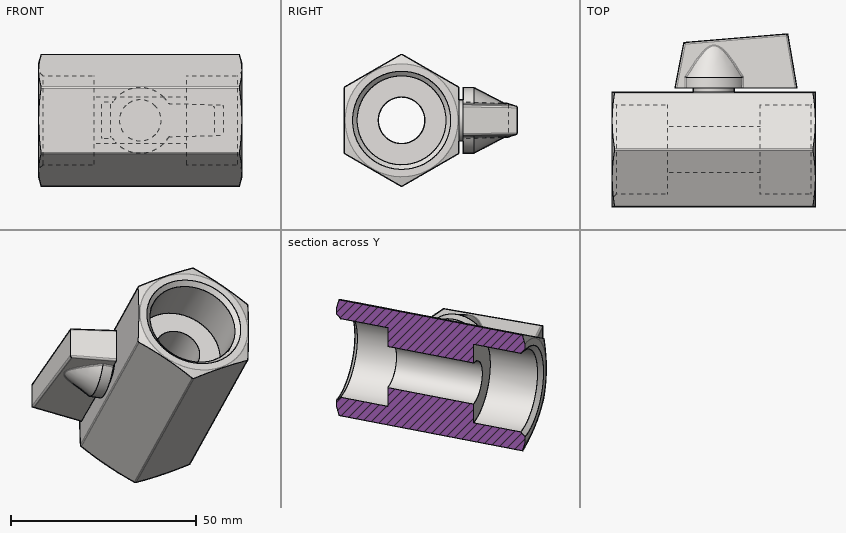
import cadquery as cq
import math

HEX_SIDES = 6
BODY_LENGTH = 55.0
ACROSS_FLATS = 31.0
CORNER_ROUND = 0.5
END_FACE_DIAMETER = 30.5
END_CHAMFER_ANGLE = 16.0

PORT_DIAMETER = 24.0
PORT_DEPTH = 15.0
PORT_MOUTH_DIAMETER = 26.5
PORT_CHAMFER_DEPTH = 1.25
PASSAGE_DIAMETER = 12.5

STEM_DIAMETER = 11.2
HANDLE_GAP = 1.1
STEM_EMBED = 1.0

HUB_DIAMETER = 17.8
HUB_HEIGHT = 2.9
HUB_CONE_ANGLE = 27.5
HUB_FILLET = 0.5

BLADE_BOTTOM_LEFT = -10.5
BLADE_BOTTOM_RIGHT = 22.5
BLADE_TOP_LEFT = -8.1
BLADE_TOP_RIGHT = 20.0
BLADE_LEFT_HEIGHT = 12.3
BLADE_RIGHT_HEIGHT = 14.65
BLADE_BASE_HALF_THICKNESS_LEFT = 4.95
BLADE_BASE_HALF_THICKNESS_RIGHT = 4.1
BLADE_DRAFT = 1.2
BLADE_ROUND = 0.5

HALF_LENGTH = BODY_LENGTH / 2
FLAT_Y = ACROSS_FLATS / 2
HANDLE_Y = FLAT_Y + HANDLE_GAP
CORNER_RADIUS = FLAT_Y / math.cos(math.pi / HEX_SIDES)


def hexagonal_body():
    corners = []
    for i in range(HEX_SIDES):
        angle = i * 2 * math.pi / HEX_SIDES
        corners.append((CORNER_RADIUS * math.sin(angle), CORNER_RADIUS * math.cos(angle)))
    prism = cq.Workplane("YZ").polyline(corners).close().extrude(HALF_LENGTH, both=True)
    prism = prism.edges("|X").fillet(CORNER_ROUND)

    end_radius = END_FACE_DIAMETER / 2
    bevel_length = (CORNER_RADIUS - end_radius) * math.tan(math.radians(END_CHAMFER_ANGLE))
    envelope = (
        cq.Workplane("XY")
        .moveTo(-HALF_LENGTH, 0)
        .lineTo(-HALF_LENGTH, end_radius)
        .lineTo(-HALF_LENGTH + bevel_length, CORNER_RADIUS)
        .lineTo(HALF_LENGTH - bevel_length, CORNER_RADIUS)
        .lineTo(HALF_LENGTH, end_radius)
        .lineTo(HALF_LENGTH, 0)
        .close()
        .revolve(360, (0, 0, 0), (1, 0, 0))
    )
    return prism.intersect(envelope)


def passage():
    floor_x = HALF_LENGTH - PORT_DEPTH
    chamfer_x = HALF_LENGTH - PORT_CHAMFER_DEPTH
    half_profile = (
        cq.Workplane("XY")
        .moveTo(0, 0)
        .lineTo(0, PASSAGE_DIAMETER / 2)
        .lineTo(floor_x, PASSAGE_DIAMETER / 2)
        .lineTo(floor_x, PORT_DIAMETER / 2)
        .lineTo(chamfer_x, PORT_DIAMETER / 2)
        .lineTo(HALF_LENGTH, PORT_MOUTH_DIAMETER / 2)
        .lineTo(HALF_LENGTH, 0)
        .close()
    )
    half = half_profile.revolve(360, (0, 0, 0), (1, 0, 0))
    return half.union(half.mirror("YZ"))


def stem():
    base = cq.Workplane("XZ", origin=(0, FLAT_Y - STEM_EMBED, 0)).circle(STEM_DIAMETER / 2)
    return base.extrude(-(STEM_EMBED + HANDLE_GAP))


def blade():
    outline = (
        cq.Workplane("XY")
        .polyline([
            (BLADE_BOTTOM_LEFT, HANDLE_Y),
            (BLADE_BOTTOM_RIGHT, HANDLE_Y),
            (BLADE_TOP_RIGHT, HANDLE_Y + BLADE_RIGHT_HEIGHT),
            (BLADE_TOP_LEFT, HANDLE_Y + BLADE_LEFT_HEIGHT),
        ])
        .close()
        .extrude(HUB_DIAMETER, both=True)
    )

    margin = BLADE_RIGHT_HEIGHT
    slope = (BLADE_BASE_HALF_THICKNESS_LEFT - BLADE_BASE_HALF_THICKNESS_RIGHT) / (
        BLADE_BOTTOM_RIGHT - BLADE_BOTTOM_LEFT
    )
    left = BLADE_BOTTOM_LEFT - margin
    right = BLADE_BOTTOM_RIGHT + margin
    half_left = BLADE_BASE_HALF_THICKNESS_LEFT + slope * margin
    half_right = BLADE_BASE_HALF_THICKNESS_RIGHT - slope * margin
    wedge = (
        cq.Workplane("XZ", origin=(0, HANDLE_Y, 0))
        .polyline([(left, -half_left), (right, -half_right), (right, half_right), (left, half_left)])
        .close()
        .extrude(-BLADE_RIGHT_HEIGHT, taper=BLADE_DRAFT)
    )
    return outline.intersect(wedge).faces(">Z or <Z").edges("not <Y").fillet(BLADE_ROUND)


def hub():
    radius = HUB_DIAMETER / 2
    cone_height = radius / math.tan(math.radians(HUB_CONE_ANGLE))
    flat_y = HANDLE_Y + BLADE_LEFT_HEIGHT
    rim_y = HANDLE_Y + HUB_HEIGHT
    flat_radius = radius * (1 - (flat_y - rim_y) / cone_height)
    return (
        cq.Workplane("XY")
        .moveTo(0, HANDLE_Y)
        .lineTo(radius, HANDLE_Y)
        .lineTo(radius, rim_y)
        .lineTo(flat_radius, flat_y)
        .lineTo(0, flat_y)
        .close()
        .revolve(360, (0, 0, 0), (0, 1, 0))
    )


def blended_handle():
    joined = blade().union(hub())
    cone_seams = joined.edges("%HYPERBOLA")
    disc_seams = joined.edges("%ELLIPSE").edges(
        cq.selectors.BoxSelector(
            (-HUB_DIAMETER / 2, HANDLE_Y, -HUB_DIAMETER / 2),
            (HUB_DIAMETER / 2, HANDLE_Y + HUB_HEIGHT, HUB_DIAMETER / 2),
        )
    )
    return cone_seams.add(disc_seams).fillet(HUB_FILLET)


body = hexagonal_body().cut(passage())
handle = blended_handle()
result = body.union(stem()).union(handle)